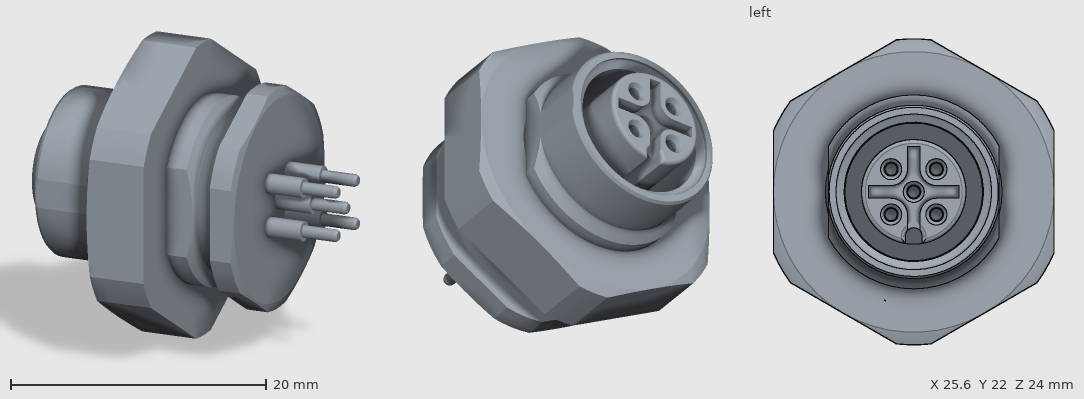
import cadquery as cq
import math


shell_front_x = 1.55
shell_dia = 13.6
rim_chamfer_length = 0.26
rim_chamfer_height = 0.17
front_cone_start_x = 6.1
body_start_x = 7.0
body_dia = 15.2
body_end_x = 14.73
neck_dia = 13.0
rear_cone_angle = 30.0
neck_edge_radius = 0.2
neck_fillet_radius = 1.0
shell_across_flats = 13.4

cavity_mouth_dia = 12.2
cavity_mouth_length = 0.24
cavity_cone_length = 0.4
cavity_throat_dia = 10.92
cavity_floor_dia = 10.8
cavity_floor_x = 9.5

nut_front_x = 8.1
nut_thickness = 4.95
nut_across_flats = 22.0
nut_corner_dia = 24.0
nut_bore_dia = 13.84
nut_face_dia = nut_across_flats
flange_front_x = 17.6
flange_rear_x = 19.6
flange_across_flats = 17.0
flange_corner_dia = 18.0
flange_face_dia = 16.6
hex_chamfer_angle = 15.0

insert_dia = 8.2
insert_edge_radius = 0.3
cross_width = 1.0
cross_length = 7.08
cross_depth = 1.2
key_width = 1.32
key_top_z = -2.81
key_end_x = 8.5

contact_offset = 1.775
sleeve_dia = 1.6
sleeve_length = 3.0
pin_dia = 1.0
pin_end_x = 25.6
pin_tip_length = 0.24
pin_tip_height = 0.13
socket_mouth_dia = 1.65
socket_step_dia = 1.1
socket_bore_dia = 0.95
socket_mouth_length = 0.4
socket_step_length = 1.0
socket_depth = 5.0
drill_point_angle = 118.0

contact_sides = (-contact_offset, contact_offset)
corner_contacts = [(y, z) for y in contact_sides for z in contact_sides]


def tan_deg(angle):
    """Tangent of an angle in degrees."""
    return math.tan(math.radians(angle))


def revolve_about_x(profile):
    """Revolve a closed (x, radius) profile about the connector axis."""
    return profile.close().revolve(360, (0, 0, 0), (1, 0, 0))


def yz_plane(x):
    """Work plane across the axis at x; its local axes are Y and Z and it faces +X."""
    return cq.Workplane("YZ", origin=(x, 0, 0))


def make_shell():
    shell_radius = shell_dia / 2
    body_radius = body_dia / 2
    neck_radius = neck_dia / 2
    neck_start_x = body_end_x + (body_radius - neck_radius) * tan_deg(rear_cone_angle)

    edge_turn = 90 - rear_cone_angle
    tangent_length = neck_edge_radius * tan_deg(edge_turn / 2)
    edge_x = neck_start_x + tangent_length

    def edge_point(angle):
        x = edge_x - neck_edge_radius * math.sin(math.radians(angle))
        radius = neck_radius + neck_edge_radius * (1 - math.cos(math.radians(angle)))
        return (x, radius)

    fillet_x = flange_front_x - neck_fillet_radius
    fillet_offset = neck_fillet_radius * math.sin(math.radians(45))
    fillet_mid = (fillet_x + fillet_offset, neck_radius + neck_fillet_radius - fillet_offset)
    profile = (
        cq.Workplane("XY")
        .moveTo(shell_front_x, 0)
        .lineTo(shell_front_x, shell_radius - rim_chamfer_height)
        .lineTo(shell_front_x + rim_chamfer_length, shell_radius)
        .lineTo(front_cone_start_x, shell_radius)
        .lineTo(body_start_x, body_radius)
        .lineTo(body_end_x, body_radius)
        .lineTo(*edge_point(edge_turn))
        .threePointArc(edge_point(edge_turn / 2), edge_point(0))
        .lineTo(fillet_x, neck_radius)
        .threePointArc(fillet_mid, (flange_front_x, neck_radius + neck_fillet_radius))
        .lineTo(flange_front_x, 0)
    )
    flatted = yz_plane(0).rect(shell_across_flats, 2 * body_dia).extrude(edge_x)
    rear = yz_plane(edge_x).circle(body_dia).extrude(flange_front_x - edge_x)
    return revolve_about_x(profile).intersect(flatted.union(rear)).cut(make_cavity())


def make_cavity():
    mouth_end_x = shell_front_x + cavity_mouth_length
    profile = (
        cq.Workplane("XY")
        .moveTo(shell_front_x, 0)
        .lineTo(shell_front_x, cavity_mouth_dia / 2)
        .lineTo(mouth_end_x, cavity_mouth_dia / 2)
        .lineTo(mouth_end_x + cavity_cone_length, cavity_throat_dia / 2)
        .lineTo(cavity_floor_x, cavity_floor_dia / 2)
        .lineTo(cavity_floor_x, 0)
    )
    return revolve_about_x(profile)


def hexagon_prism(start_x, length, across_flats):
    """Hexagonal prism along X with two flats square to Y."""
    across_corners = across_flats / math.cos(math.radians(30))
    return yz_plane(start_x).polygon(6, across_corners).extrude(length).rotate((0, 0, 0), (1, 0, 0), 30)


def corner_turning(face_x, back_x, face_dia, corner_dia):
    """Cylinder that rounds the hexagon corners, coned towards the face at face_x."""
    cone_length = (corner_dia - face_dia) / 2 * tan_deg(hex_chamfer_angle)
    cone_end_x = face_x + math.copysign(cone_length, back_x - face_x)
    profile = (
        cq.Workplane("XY")
        .moveTo(face_x, 0)
        .lineTo(face_x, face_dia / 2)
        .lineTo(cone_end_x, corner_dia / 2)
        .lineTo(back_x, corner_dia / 2)
        .lineTo(back_x, 0)
    )
    return revolve_about_x(profile)


def make_nut():
    prism = hexagon_prism(nut_front_x, nut_thickness, nut_across_flats)
    nut_rear_x = nut_front_x + nut_thickness
    nut = prism.intersect(corner_turning(nut_front_x, nut_rear_x, nut_face_dia, nut_corner_dia))
    return nut.cut(yz_plane(nut_front_x).circle(nut_bore_dia / 2).extrude(nut_thickness))


def make_flange():
    prism = hexagon_prism(flange_front_x, flange_rear_x - flange_front_x, flange_across_flats)
    return prism.intersect(corner_turning(flange_rear_x, flange_front_x, flange_face_dia, flange_corner_dia))


def make_cross():
    """Cross-shaped recess whose inner corners run concentric with the corner contacts."""
    corner_radius = contact_offset - cross_width / 2
    upright = yz_plane(0).rect(cross_width, cross_length).extrude(cross_depth)
    crossbar = yz_plane(0).rect(cross_length, cross_width).extrude(cross_depth)
    middle = yz_plane(0).rect(2 * contact_offset, 2 * contact_offset).extrude(cross_depth)
    islands = yz_plane(0).pushPoints(corner_contacts).circle(corner_radius).extrude(cross_depth)
    return upright.union(crossbar).union(middle.cut(islands))


def make_key_slot():
    """Round-topped slot, open at the bottom of the insert."""
    radius = key_width / 2
    slot_bottom_z = -insert_dia
    centre_z = key_top_z - radius
    return (
        yz_plane(0)
        .moveTo(-radius, slot_bottom_z)
        .lineTo(-radius, centre_z)
        .threePointArc((0, key_top_z), (radius, centre_z))
        .lineTo(radius, slot_bottom_z)
        .close()
        .extrude(key_end_x)
    )


def make_socket(y, z, mouth_x):
    """Coned entry, short step and drilled bore of one contact."""
    mouth_end_x = mouth_x + socket_mouth_length
    step_end_x = mouth_end_x + socket_step_length
    bore_radius = socket_bore_dia / 2
    tip_length = bore_radius / tan_deg(drill_point_angle / 2)
    profile = (
        cq.Workplane("XY")
        .moveTo(mouth_x, 0)
        .lineTo(mouth_x, socket_mouth_dia / 2)
        .lineTo(mouth_end_x, socket_step_dia / 2)
        .lineTo(step_end_x, socket_step_dia / 2)
        .lineTo(step_end_x, bore_radius)
        .lineTo(socket_depth, bore_radius)
        .lineTo(socket_depth + tip_length, 0)
    )
    return revolve_about_x(profile).translate((0, y, z))


def make_insert():
    insert = yz_plane(0).circle(insert_dia / 2).extrude(cavity_floor_x)
    insert = insert.cut(make_key_slot())
    insert = insert.faces("<X").edges().fillet(insert_edge_radius)
    insert = insert.cut(make_cross())
    for y, z in corner_contacts:
        insert = insert.cut(make_socket(y, z, 0))
    return insert.cut(make_socket(0, 0, cross_depth))


def make_pin(y, z):
    """Rear end of one contact: insulating sleeve and a chamfered pin."""
    sleeve_end_x = flange_rear_x + sleeve_length
    pin_radius = pin_dia / 2
    profile = (
        cq.Workplane("XY")
        .moveTo(flange_rear_x, 0)
        .lineTo(flange_rear_x, sleeve_dia / 2)
        .lineTo(sleeve_end_x, sleeve_dia / 2)
        .lineTo(sleeve_end_x, pin_radius)
        .lineTo(pin_end_x - pin_tip_length, pin_radius)
        .lineTo(pin_end_x, pin_radius - pin_tip_height)
        .lineTo(pin_end_x, 0)
    )
    return revolve_about_x(profile).translate((0, y, z))


result = make_shell().union(make_nut()).union(make_flange()).union(make_insert())
for contact_y, contact_z in corner_contacts + [(0, 0)]:
    result = result.union(make_pin(contact_y, contact_z))